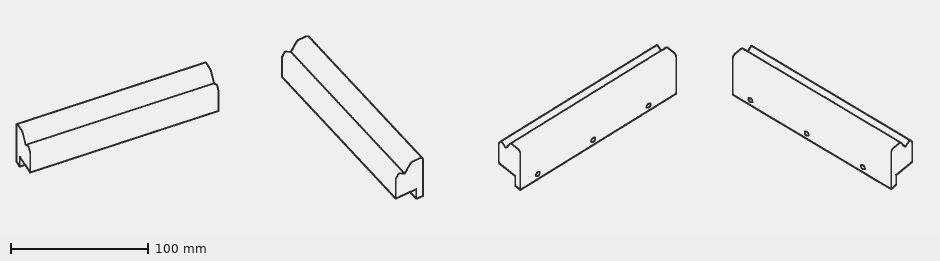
import cadquery as cq
import math

width = 23.9
length = 151.4
height = 40.0

leg_thickness = 5.9
leg_height = 10.0

steep_wall_angle = math.radians(58)
steep_slope = math.tan(steep_wall_angle)
shallow_slope = 1 / steep_slope
groove_edge_x = 10.6
groove_bottom_x = 16.0
ridge_x = 21.2

edge_radius = 3.0
ridge_radius = 1.0

hole_diameter = 4.0
hole_height = 5.3
hole_pitch = 53.7
middle_hole_offset = 5.0

groove_bottom_z = height - (groove_bottom_x - groove_edge_x) * steep_slope
ridge_z = groove_bottom_z + (ridge_x - groove_bottom_x) * shallow_slope
shoulder_z = ridge_z - (width - ridge_x) * steep_slope


def round_edge(body, x, z, radius):
    """Round the lengthwise edge that passes through (x, z)."""
    nearest = cq.selectors.NearestToPointSelector((x, length / 2, z))
    return body.edges("|Y").edges(nearest).fillet(radius)


def make_bar():
    """Extrude the sharp-cornered profile along Y, then round its edges."""
    profile = [
        (0, 0),
        (0, height),
        (groove_edge_x, height),
        (groove_bottom_x, groove_bottom_z),
        (ridge_x, ridge_z),
        (width, shoulder_z),
        (width, leg_height),
        (leg_thickness, leg_height),
        (leg_thickness, 0),
    ]
    bar = cq.Workplane("XZ").polyline(profile).close().extrude(-length)
    bar = round_edge(bar, 0, height, edge_radius)
    bar = round_edge(bar, groove_edge_x, height, edge_radius)
    bar = round_edge(bar, ridge_x, ridge_z, ridge_radius)
    return round_edge(bar, width, shoulder_z, edge_radius)


def make_leg_holes():
    """Evenly spaced cylinders along X that pass through the leg."""
    middle_y = length / 2 + middle_hole_offset
    centers = [(middle_y + step * hole_pitch, hole_height) for step in (-1, 0, 1)]
    return cq.Workplane("YZ").pushPoints(centers).circle(hole_diameter / 2).extrude(leg_thickness)


result = make_bar().cut(make_leg_holes())